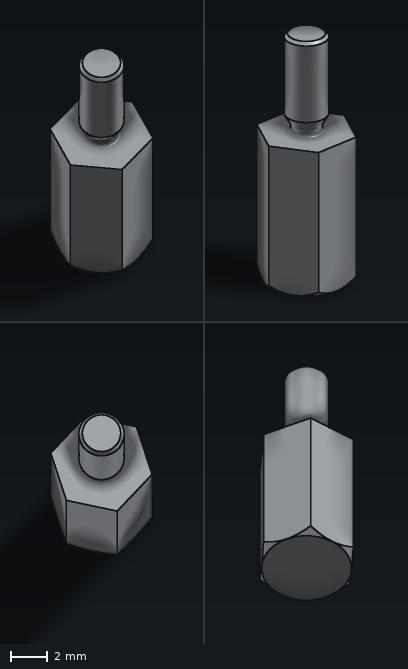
import cadquery as cq
import math

across_flats = 5.0
across_corners = across_flats / math.cos(math.radians(30))
body_height = 9.0
bottom_face_diameter = 4.98

total_height = 15.0
stud_radius = 2.5 / 2
tip_chamfer = 0.2
neck_radius = 1.8 / 2
undercut_fillet = 0.2
undercut_length = 1.1
runout_angle = math.radians(30)


def make_body():
    """Hexagonal prism whose bottom corners are turned to a 45 degree cone."""
    prism = cq.Workplane("XY").polygon(6, across_corners).extrude(body_height)
    corner_radius = across_corners / 2
    face_radius = bottom_face_diameter / 2
    cone_height = corner_radius - face_radius
    turned_envelope = (
        cq.Workplane("XZ")
        .lineTo(face_radius, 0)
        .lineTo(corner_radius, cone_height)
        .lineTo(corner_radius, body_height)
        .lineTo(0, body_height)
        .close()
        .revolve(360, (0, 0), (0, 1))
    )
    return prism.intersect(turned_envelope)


def make_stud():
    """Revolved stud: base fillet, neck, runout fillet, cone, shank and tip chamfer."""
    fillet_center_radius = neck_radius + undercut_fillet
    neck_bottom = body_height + undercut_fillet
    cone_top = body_height + undercut_length

    def fillet_point(center_height, angle):
        """Point on a fillet arc, at an angle above (+) or below (-) its neck tangency."""
        return (
            fillet_center_radius - undercut_fillet * math.cos(angle),
            center_height + undercut_fillet * math.sin(angle),
        )

    cone_corner = cone_top - (stud_radius - neck_radius) / math.tan(runout_angle)
    neck_top = cone_corner - undercut_fillet * math.tan(runout_angle / 2)

    return (
        cq.Workplane("XZ")
        .moveTo(0, body_height)
        .lineTo(fillet_center_radius, body_height)
        .threePointArc(fillet_point(neck_bottom, -math.pi / 4), (neck_radius, neck_bottom))
        .lineTo(neck_radius, neck_top)
        .threePointArc(fillet_point(neck_top, runout_angle / 2), fillet_point(neck_top, runout_angle))
        .lineTo(stud_radius, cone_top)
        .lineTo(stud_radius, total_height - tip_chamfer)
        .lineTo(stud_radius - tip_chamfer, total_height)
        .lineTo(0, total_height)
        .close()
        .revolve(360, (0, 0), (0, 1))
    )


result = make_body().union(make_stud())